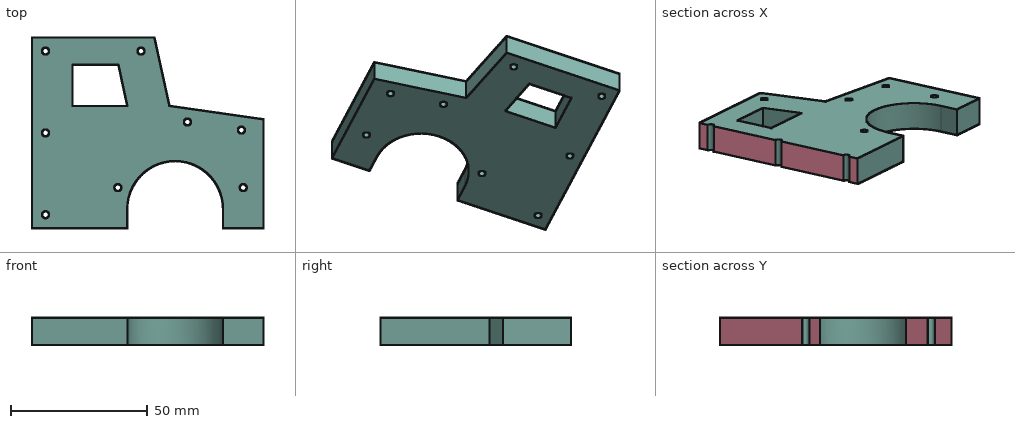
import cadquery as cq

length = 85.0
width = 70.0
thickness = 10.0

top_edge_end = 45.0
notch_x = 50.5
notch_y = 45.0
right_edge_height = 40.0

opening_radius = 17.5
opening_center_x = 52.5
opening_center_y = 7.1
opening_left = opening_center_x - opening_radius
opening_right = opening_center_x + opening_radius

window_left = 15.0
window_bottom = notch_y
window_height = 15.0
window_bottom_width = 20.0
window_top_width = 16.75
window_top = window_bottom + window_height

hole_diameter = 2.5
edge_inset = 5.0
top_hole_x = 40.0
lower_hole_y = 15.0
hole_centers = [
    (edge_inset, edge_inset),
    (edge_inset, width / 2),
    (edge_inset, width - edge_inset),
    (top_hole_x, width - edge_inset),
    (57.0, 39.0),
    (76.8, 36.0),
    (77.5, lower_hole_y),
    (31.5, lower_hole_y),
]


def make_plate():
    """Plate outline, including the round-ended opening."""
    return (
        cq.Workplane("XY")
        .lineTo(opening_left, 0)
        .lineTo(opening_left, opening_center_y)
        .threePointArc(
            (opening_center_x, opening_center_y + opening_radius),
            (opening_right, opening_center_y),
        )
        .lineTo(opening_right, 0)
        .lineTo(length, 0)
        .lineTo(length, right_edge_height)
        .lineTo(notch_x, notch_y)
        .lineTo(top_edge_end, width)
        .lineTo(0, width)
        .close()
        .extrude(thickness)
    )


def make_window():
    """Cutter for the four-sided window."""
    corners = [
        (window_left, window_bottom),
        (window_left + window_bottom_width, window_bottom),
        (window_left + window_top_width, window_top),
        (window_left, window_top),
    ]
    return cq.Workplane("XY").polyline(corners).close().extrude(thickness)


def make_holes():
    """Cutters for all the small through holes."""
    return cq.Workplane("XY").pushPoints(hole_centers).circle(hole_diameter / 2).extrude(thickness)


result = make_plate().cut(make_window()).cut(make_holes())